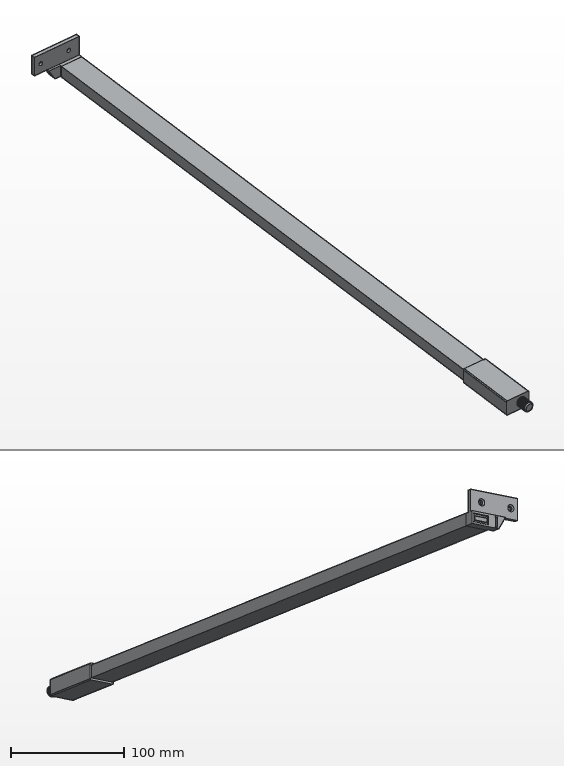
import cadquery as cq

overall_length = 658.0

bar_width = 23.0
bar_height = 12.0
bar_start = 10.0

housing_length = 61.0
housing_width = 26.0
housing_height = 16.0
housing_edge_chamfer = 1.0
bar_insertion = 6.5

connector_length = 12.0
connector_diameter = 10.0
connector_chamfer = 1.0
connector_y = 4.0
thread_pitch = 2.0
thread_depth = 0.5

plate_width = 51.0
plate_height = 20.5
plate_thickness = 4.0
block_thickness = 8.5
block_top_width = 36.0
block_bottom_width = 29.0
hole_diameter = 4.0
countersink_diameter = 6.5
countersink_angle = 90
hole_spacing = 31.5
hole_edge_distance = 12.0

window_width = 16.0
window_height = 8.0
window_depth = 2.0
window_edge_distance = 2.0
rib_width = 13.0
rib_height = 4.0
rib_projection = 1.0

groove_width = 2.0
groove_height = 9.0
groove_depth = 2.0
groove_distance = 26.5

housing_end = overall_length - connector_length
housing_start = housing_end - housing_length
bar_end = housing_start + bar_insertion
bracket_side = bar_width / 2
block_top = bar_height / 2
plate_start = (block_thickness - plate_thickness) / 2
hole_z = block_top + plate_height / 2
window_y = bracket_side - window_edge_distance - window_width / 2
groove_y = bracket_side - groove_distance


def x_box(start, end, width, height, y=0.0, z=0.0):
    """Box from X = start to X = end, centred on the given Y and Z."""
    section = cq.Workplane("YZ", origin=(start, y, z)).rect(width, height)
    return section.extrude(end - start)


def make_bar():
    """Plain bar that runs from the bracket into the housing socket."""
    return x_box(bar_start, bar_end, bar_width, bar_height)


def make_housing():
    """Block with chamfered long edges and a socket for the bar end."""
    sleeve = x_box(housing_start, housing_end, housing_width, housing_height)
    sleeve = sleeve.edges("|X").chamfer(housing_edge_chamfer)
    return sleeve.cut(x_box(housing_start, bar_end, bar_width, bar_height))


def make_connector():
    """Round stub with a chamfered tip and ring grooves for its thread."""
    stub = (
        cq.Workplane("YZ", origin=(housing_end, connector_y, 0))
        .circle(connector_diameter / 2)
        .extrude(connector_length)
        .faces(">X")
        .chamfer(connector_chamfer)
    )
    groove_count = int((connector_length - connector_chamfer) / thread_pitch)
    for number in range(groove_count):
        groove = (
            cq.Workplane("YZ", origin=(housing_end + (number + 0.5) * thread_pitch, connector_y, 0))
            .circle(connector_diameter / 2)
            .circle(connector_diameter / 2 - thread_depth)
            .extrude(thread_pitch / 2)
        )
        stub = stub.cut(groove)
    return stub


def make_plate():
    """Upright plate with two countersunk screw holes."""
    plate_y = bracket_side - plate_width / 2
    plate = x_box(plate_start, plate_start + plate_thickness, plate_width, plate_height, plate_y, hole_z)
    first_hole_y = bracket_side - hole_edge_distance
    return (
        plate.faces("<X")
        .workplane(origin=(plate_start, 0, hole_z))
        .pushPoints([(-first_hole_y, 0), (hole_spacing - first_hole_y, 0)])
        .cskHole(hole_diameter, countersink_diameter, countersink_angle)
    )


def make_block():
    """Clamp block with a sloping -Y side and a ribbed window and a groove in its outer face."""
    outline = [
        (bracket_side, -block_top),
        (bracket_side, block_top),
        (bracket_side - block_top_width, block_top),
        (bracket_side - block_bottom_width, -block_top),
    ]
    block = cq.Workplane("YZ").polyline(outline).close().extrude(block_thickness)
    window = x_box(0, window_depth, window_width, window_height, window_y)
    rib = x_box(window_depth - rib_projection, window_depth, rib_width, rib_height, window_y)
    groove = x_box(0, groove_depth, groove_width, groove_height, groove_y)
    return block.cut(window).union(rib).cut(groove)


def make_bracket():
    """Block, plate and the seat that meets the bar end, as one solid."""
    bar_seat = x_box(block_thickness, bar_start, bar_width, bar_height)
    return make_block().union(make_plate()).union(bar_seat)


bar = make_bar()
housing = make_housing()
connector = make_connector()
bracket = make_bracket()
result = cq.Compound.makeCompound([bar.val(), housing.val(), connector.val(), bracket.val()])